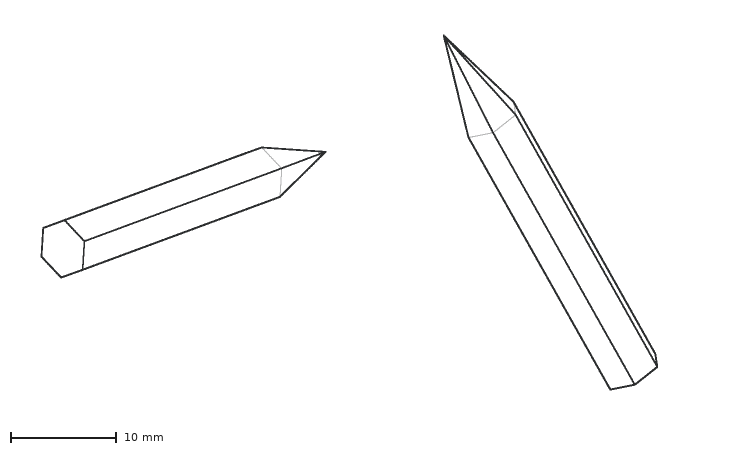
import cadquery as cq
import math

total_length = 40.0
tip_length = 10.0
across_flats = 5.0
top_corner_lean = 4.2

body_length = total_length - tip_length
corner_radius = across_flats / math.sqrt(3)
side_count = 6


def corner(index, y):
    """Corner of the hexagon lying at height y along the pencil axis."""
    angle = math.radians(90 - top_corner_lean + index * 360 / side_count)
    return cq.Vector(corner_radius * math.cos(angle), y, corner_radius * math.sin(angle))


def polygon_face(points):
    return cq.Face.makeFromWires(cq.Wire.makePolygon(points, close=True))


base = [corner(i, 0) for i in range(side_count)]
shoulder = [corner(i, body_length) for i in range(side_count)]
apex = cq.Vector(0, total_length, 0)

faces = [polygon_face(base)]
for i in range(side_count):
    following = (i + 1) % side_count
    faces.append(polygon_face([base[i], base[following], shoulder[following], shoulder[i]]))
    faces.append(polygon_face([shoulder[i], shoulder[following], apex]))

pencil = cq.Solid.makeSolid(cq.Shell.makeShell(faces))
result = cq.Workplane("XY").newObject([pencil.fix()])